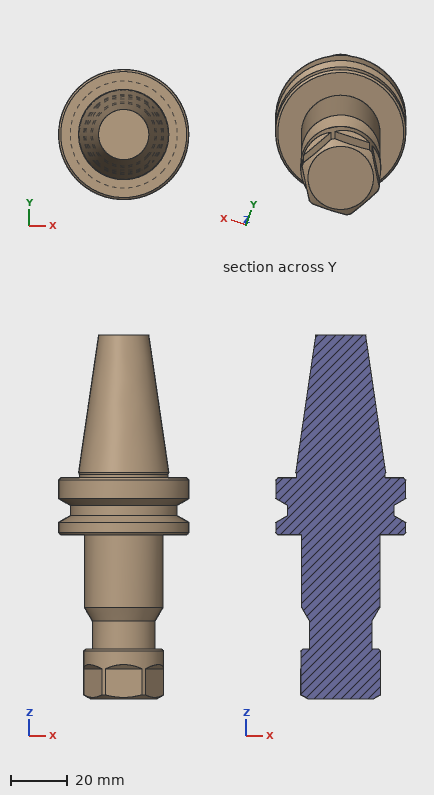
import cadquery as cq
import math

total_height = 128.4
flange_bottom = 57.9
flange_top = 78.1
gauge_height = 80.0

gauge_radius = 15.9
taper_ratio = 7 / 24
shank_tip_radius = gauge_radius - (total_height - gauge_height) * taper_ratio / 2
relief_radius = 15.7
relief_height = 79.2

flange_radius = 23.0
flange_chamfer = 0.8
groove_radius = 37.7 / 2
groove_floor_bottom = 64.7
groove_floor_top = 68.3
groove_flank_angle = math.radians(30)
groove_flank_height = (flange_radius - groove_radius) * math.tan(groove_flank_angle)

body_radius = 13.9
body_bottom = 32.4
neck_radius = 11.0
neck_top = 27.5

nut_radius = 14.1
nut_height = 17.7
nut_top_chamfer = 0.8
nut_face_radius = 11.5
nut_face_angle = math.radians(30)
nut_face_bevel = (nut_radius - nut_face_radius) * math.tan(nut_face_angle)
flat_distance = 12.6
flat_top = 10.7
flat_count = 6


def make_turned_body():
    """Revolve the half outline of the whole holder around Z."""
    outline = [
        (0, 0),
        (nut_face_radius, 0),
        (nut_radius, nut_face_bevel),
        (nut_radius, nut_height - nut_top_chamfer),
        (nut_radius - nut_top_chamfer, nut_height),
        (neck_radius, nut_height),
        (neck_radius, neck_top),
        (body_radius, body_bottom),
        (body_radius, flange_bottom),
        (flange_radius - flange_chamfer, flange_bottom),
        (flange_radius, flange_bottom + flange_chamfer),
        (flange_radius, groove_floor_bottom - groove_flank_height),
        (groove_radius, groove_floor_bottom),
        (groove_radius, groove_floor_top),
        (flange_radius, groove_floor_top + groove_flank_height),
        (flange_radius, flange_top - flange_chamfer),
        (flange_radius - flange_chamfer, flange_top),
        (relief_radius, flange_top),
        (relief_radius, relief_height),
        (gauge_radius, gauge_height),
        (shank_tip_radius, total_height),
        (0, total_height),
    ]
    return cq.Workplane("XZ").polyline(outline).close().revolve(360, (0, 0), (0, 1))


def make_flat_cutter():
    """Wedge-topped bar that cuts one nut flat, with a 45 degree run-out above it."""
    cut_depth = nut_radius - flat_distance
    section = [
        (flat_distance, 0),
        (nut_radius, 0),
        (nut_radius, flat_top + cut_depth),
        (flat_distance, flat_top),
    ]
    return cq.Workplane("XZ").polyline(section).close().extrude(nut_radius, both=True)


result = make_turned_body()

for index in range(flat_count):
    flat_angle = 90 + index * 360 / flat_count
    result = result.cut(make_flat_cutter().rotate((0, 0, 0), (0, 0, 1), flat_angle))